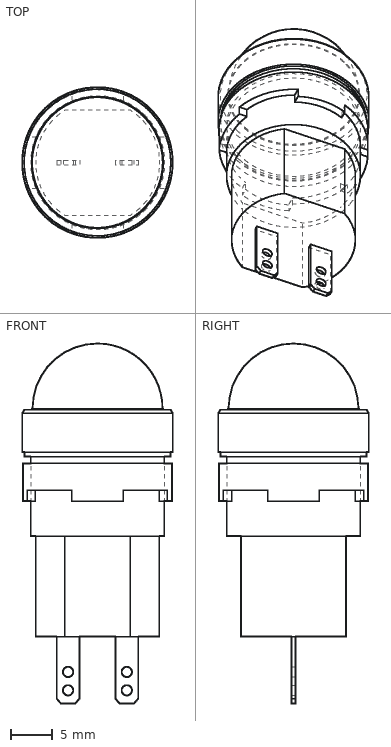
import cadquery as cq

terminal_length = 8.0
barrel_top = 20.0
nut_bottom = 24.15
notch_top = 25.45
nut_top = 28.7
bezel_bottom = 29.5
bezel_top = 35.1
overall_height = 43.0

barrel_radius = 7.4
flat_distance = 6.28
neck_radius = 8.0
bezel_diameter = 18.0
bezel_radius = bezel_diameter / 2
bezel_chamfer = 0.25
bezel_chamfer_height = 0.45
seat_radius = 8.75
seat_height = 0.5
collar_radius = 7.85
collar_height = 0.15
dome_base = bezel_top + collar_height
dome_radius = overall_height - dome_base

nut_radius = 8.9
lug_width = 6.1

terminal_spacing = 7.0
terminal_width = 2.75
terminal_thickness = 0.5
tip_chamfer_width = 0.5
tip_chamfer_height = 0.6
hole_diameter = 1.2
hole_heights = (1.6, 3.8)


def cylinder(radius, bottom, top):
    """Cylinder on the Z axis between two levels."""
    return cq.Workplane("XY").workplane(offset=bottom).circle(radius).extrude(top - bottom)


def make_barrel():
    """Round barrel with two flats facing -Y and +Y."""
    height = barrel_top - terminal_length
    flats = (
        cq.Workplane("XY")
        .workplane(offset=terminal_length)
        .rect(2 * barrel_radius, 2 * flat_distance)
        .extrude(height)
    )
    return cylinder(barrel_radius, terminal_length, barrel_top).intersect(flats)


def make_head():
    """Neck, seat, chamfered bezel, collar and dome, revolved about Z."""
    rim_radius = bezel_radius - bezel_chamfer
    profile = (
        cq.Workplane("XZ")
        .moveTo(0, barrel_top)
        .lineTo(neck_radius, barrel_top)
        .lineTo(neck_radius, bezel_bottom)
        .lineTo(seat_radius, bezel_bottom)
        .lineTo(seat_radius, bezel_bottom + seat_height)
        .lineTo(bezel_radius, bezel_bottom + seat_height)
        .lineTo(bezel_radius, bezel_top - bezel_chamfer_height)
        .lineTo(rim_radius, bezel_top)
        .lineTo(collar_radius, bezel_top)
        .lineTo(collar_radius, dome_base)
        .lineTo(dome_radius, dome_base)
        .radiusArc((0, overall_height), -dome_radius)
        .close()
    )
    return profile.revolve(360, (0, 0, 0), (0, 1, 0))


def make_terminal(center_x):
    """Flat blade with a chamfered tip and two wire holes."""
    half_width = terminal_width / 2
    tip_half_width = half_width - tip_chamfer_width
    blade = (
        cq.Workplane("XZ")
        .polyline([
            (center_x - tip_half_width, 0),
            (center_x + tip_half_width, 0),
            (center_x + half_width, tip_chamfer_height),
            (center_x + half_width, terminal_length),
            (center_x - half_width, terminal_length),
            (center_x - half_width, tip_chamfer_height),
        ])
        .close()
        .extrude(terminal_thickness / 2, both=True)
    )
    holes = (
        cq.Workplane("XZ")
        .pushPoints([(center_x, height) for height in hole_heights])
        .circle(hole_diameter / 2)
        .extrude(terminal_thickness, both=True)
    )
    return blade.cut(holes)


def make_lamp():
    """Lamp body: barrel, head and both terminals in one solid."""
    body = make_barrel().union(make_head())
    for side in (-1, 1):
        body = body.union(make_terminal(side * terminal_spacing / 2))
    return body


def make_nut():
    """Ring around the neck, with four straight-sided lugs on its lower edge."""
    upper_ring = cylinder(nut_radius, notch_top, nut_top)
    lug_height = notch_top - nut_bottom
    lug_plane = cq.Workplane("XY").workplane(offset=nut_bottom)
    cross = lug_plane.rect(2 * nut_radius, lug_width).extrude(lug_height)
    cross = cross.union(lug_plane.rect(lug_width, 2 * nut_radius).extrude(lug_height))
    lugs = cylinder(nut_radius, nut_bottom, notch_top).intersect(cross)
    bore = cylinder(neck_radius, nut_bottom, nut_top)
    return upper_ring.union(lugs).cut(bore)


lamp = make_lamp()
nut = make_nut()

result = cq.Compound.makeCompound([lamp.solids().val(), nut.solids().val()])